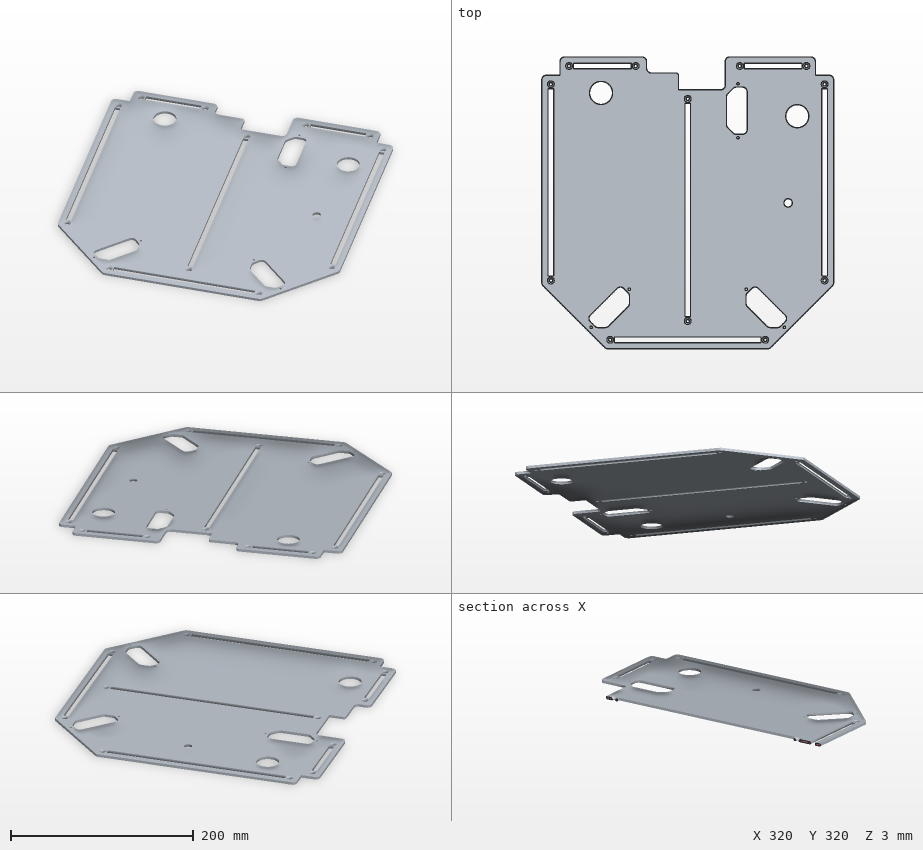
import cadquery as cq
import math

size = 320.0
half = size / 2
thickness = 3.0
corner_radius = 5.0
corner_cut = 70.5

shoulder_inset = 20.0
shoulder_y = half - shoulder_inset
tab_outer_x = half - shoulder_inset
left_tab_inner_x = -45.0
right_tab_inner_x = 41.0
step_y = 142.5
step_x = -10.0
notch_y = 124.0
step_radius = 3.0

edge_inset = 10.0
slot_line = half - edge_inset
slot_width = 6.0
screw_diameter = 3.5
countersink_diameter = 7.5
countersink_angle = 90.0
screw_gap = 5.0
side_screws_y = (-85.0, 130.0)
centre_screws_y = (-129.5, notch_y - edge_inset)
bottom_screw_x = 85.0
tab_screws_x = (57.0, 130.0)

round_holes = (
    (-95.0, 120.5, 25.0),
    (120.0, 95.0, 25.0),
    (110.0, 0.0, 9.0),
)

cutout_length = 51.5
cutout_inner_side = 12.5
cutout_outer_side = 10.0
cutout_chamfer = 8.5
cutout_radius = 5.0
pilot_diameter = 2.5
pilot_spacing = 59.0
corner_cutout_x = 85.0
corner_cutout_y = -115.5
cutouts = (
    (55.0, 101.0, 0.0),
    (-corner_cutout_x, corner_cutout_y, 135.0),
    (corner_cutout_x, corner_cutout_y, 45.0),
)


def round_corners(plate, corners, radius):
    for x, y in corners:
        corner = cq.selectors.NearestToPointSelector((x, y, thickness / 2))
        plate = plate.edges("|Z").edges(corner).fillet(radius)
    return plate


def make_plate():
    outline = [
        (-half, -half + corner_cut),
        (-half, shoulder_y),
        (-tab_outer_x, shoulder_y),
        (-tab_outer_x, half),
        (left_tab_inner_x, half),
        (left_tab_inner_x, step_y),
        (step_x, step_y),
        (step_x, notch_y),
        (right_tab_inner_x, notch_y),
        (right_tab_inner_x, half),
        (tab_outer_x, half),
        (tab_outer_x, shoulder_y),
        (half, shoulder_y),
        (half, -half + corner_cut),
        (half - corner_cut, -half),
        (-half + corner_cut, -half),
    ]
    step_corner = (step_x, step_y)
    sharp_corners = [(-tab_outer_x, shoulder_y), (tab_outer_x, shoulder_y), (step_x, notch_y)]
    full_corners = [point for point in outline if point != step_corner and point not in sharp_corners]

    plate = cq.Workplane("XY").polyline(outline).close().extrude(thickness)
    plate = round_corners(plate, full_corners, corner_radius)
    return round_corners(plate, [step_corner], step_radius)


def cut_slot(plate, start, end):
    """Cut a slot between two countersunk screw holes at start and end."""
    dx = end[0] - start[0]
    dy = end[1] - start[1]
    middle = ((start[0] + end[0]) / 2, (start[1] + end[1]) / 2)
    length = math.hypot(dx, dy) - 2 * screw_gap
    angle = math.degrees(math.atan2(dy, dx))
    slot = (
        cq.Workplane("XY")
        .box(length, slot_width, thickness, centered=(True, True, False))
        .rotate((0, 0, 0), (0, 0, 1), angle)
        .translate((*middle, 0))
    )
    return (
        plate.cut(slot)
        .faces(">Z")
        .workplane(origin=(0, 0, thickness))
        .pushPoints([start, end])
        .cskHole(screw_diameter, countersink_diameter, countersink_angle)
    )


def cut_slots(plate):
    for side in (-1, 1):
        x = side * slot_line
        plate = cut_slot(plate, (x, side_screws_y[0]), (x, side_screws_y[1]))
        tab_start = (side * tab_screws_x[0], slot_line)
        tab_end = (side * tab_screws_x[1], slot_line)
        plate = cut_slot(plate, tab_start, tab_end)
    plate = cut_slot(plate, (0, centre_screws_y[0]), (0, centre_screws_y[1]))
    return cut_slot(plate, (-bottom_screw_x, -slot_line), (bottom_screw_x, -slot_line))


def cut_round_holes(plate):
    for x, y, diameter in round_holes:
        hole = cq.Workplane("XY").center(x, y).circle(diameter / 2).extrude(thickness)
        plate = plate.cut(hole)
    return plate


def make_cutout():
    """Cutout and its pilots, with the pilot midpoint at the origin and the plain side facing +X."""
    width = cutout_inner_side + cutout_outer_side
    opening = (
        cq.Workplane("XY")
        .box(width, cutout_length, thickness, centered=(True, True, False))
        .translate(((cutout_outer_side - cutout_inner_side) / 2, 0, 0))
        .edges("|Z and <X").chamfer(cutout_chamfer)
        .edges("|Z").fillet(cutout_radius)
    )
    pilots = (
        cq.Workplane("XY")
        .pushPoints([(0, -pilot_spacing / 2), (0, pilot_spacing / 2)])
        .circle(pilot_diameter / 2)
        .extrude(thickness)
    )
    return opening.union(pilots)


def cut_cutouts(plate):
    for x, y, angle in cutouts:
        cutout = make_cutout().rotate((0, 0, 0), (0, 0, 1), angle)
        plate = plate.cut(cutout.translate((x, y, 0)))
    return plate


result = make_plate()
result = cut_slots(result)
result = cut_round_holes(result)
result = cut_cutouts(result)